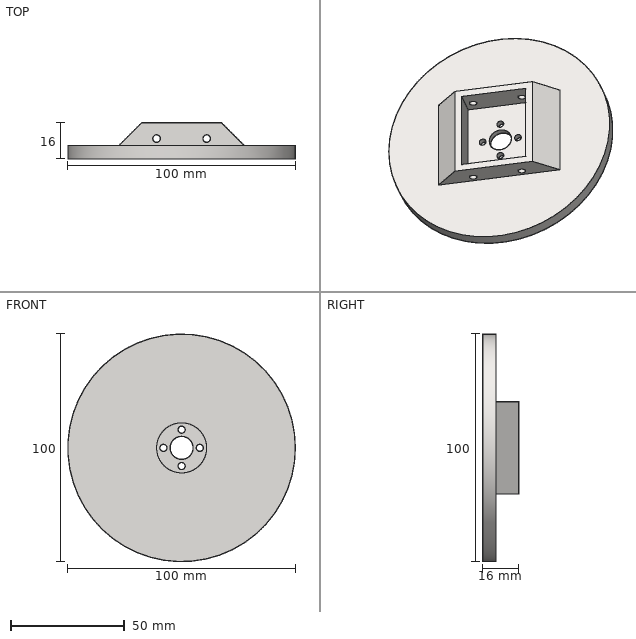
import cadquery as cq

disk_diameter = 100
disk_thickness = 6

block_base_width = 55
block_depth = 10
block_top_width = block_base_width - 2 * block_depth
block_height = 40.6

pocket_floor = 4
wall_thickness = 3
pocket_width = block_top_width - 2 * wall_thickness
pocket_height = block_height - 2 * wall_thickness

recess_diameter = 22
recess_depth = 1
bore_diameter = 10
bolt_hole_diameter = 3
bolt_circle_diameter = 16
bolt_count = 4

cross_hole_diameter = 3.2
cross_hole_spacing = 22
cross_hole_offset = 3

total_depth = disk_thickness + block_depth


def cylinder_along_y(diameter, length):
    """Cylinder on the disk axis, from Y = 0 to Y = length."""
    return cq.Workplane("XZ").circle(diameter / 2).extrude(-length)


def make_block():
    """Trapezoid in XY, extruded equally above and below the disk axis."""
    outline = [
        (-block_base_width / 2, disk_thickness),
        (block_base_width / 2, disk_thickness),
        (block_top_width / 2, total_depth),
        (-block_top_width / 2, total_depth),
    ]
    return cq.Workplane("XY").polyline(outline).close().extrude(block_height / 2, both=True)


def make_pocket():
    """Rectangular pocket with straight walls, from its floor to the back of the block."""
    return (
        cq.Workplane("XZ", origin=(0, pocket_floor, 0))
        .rect(pocket_width, pocket_height)
        .extrude(pocket_floor - total_depth)
    )


def make_bolt_holes():
    """Ring of holes running through the disk into the pocket."""
    return (
        cq.Workplane("XZ")
        .polarArray(bolt_circle_diameter / 2, 0, 360, bolt_count)
        .circle(bolt_hole_diameter / 2)
        .extrude(-disk_thickness)
    )


def make_cross_holes():
    """Pair of vertical holes through both end walls of the block."""
    hole_y = disk_thickness + cross_hole_offset
    centers = [(side * cross_hole_spacing / 2, hole_y) for side in (-1, 1)]
    return (
        cq.Workplane("XY")
        .pushPoints(centers)
        .circle(cross_hole_diameter / 2)
        .extrude(block_height / 2, both=True)
    )


body = cylinder_along_y(disk_diameter, disk_thickness).union(make_block())
body = body.cut(make_pocket())
body = body.cut(cylinder_along_y(recess_diameter, recess_depth))
body = body.cut(cylinder_along_y(bore_diameter, disk_thickness))
body = body.cut(make_bolt_holes())
result = body.cut(make_cross_holes())